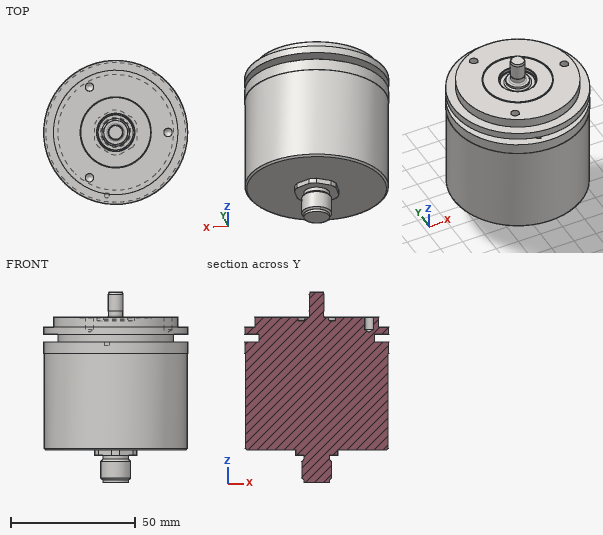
import cadquery as cq
import math


housing_radius = 29.0
spigot_radius = 25.0
spigot_height = 4.0
rim_thickness = 3.0
clamp_groove_radius = 23.25
clamp_groove_width = 3.0
flange_base_height = 4.7
cover_inset = 0.15
cover_chamfer = 0.8
housing_height = 53.5

shaft_diameter = 6.05
shaft_radius = shaft_diameter / 2
shaft_length = 10.0
shaft_neck_radius = 2.9
shaft_neck_top = 2.5
shaft_tip_length = 0.9
shaft_tip_inset = 0.3
root_fillet = 0.6
hub_radius = 4.8
hub_top_depth = 0.1
hub_cone_depth = 1.0
hub_foot_radius = 5.6

recess_radius = 7.5
recess_depth = 1.5
recess_mouth_bevel = 0.2
recess_floor_bevel_width = 0.45
recess_floor_bevel_height = 0.15
ring_groove_radius = 14.15
ring_groove_width = 0.3
ring_groove_depth = 0.4

mount_hole_count = 3
mount_hole_radius = 1.7
mount_circle_radius = 21.0
mount_hole_depth = 5.0
drill_point_angle = 118

ledge_hole_radius = 1.0
ledge_hole_circle_radius = 25.55
ledge_hole_depth = 1.5
ledge_hole_angle = -98

nut_height = 2.1
nut_across_flats = 17.0
nut_corner_radius = 9.0
connector_neck_radius = 5.2
connector_neck_length = 1.5
thread_radius = 6.05
thread_length = 6.7
thread_top_chamfer_length = 0.9
thread_end_chamfer_length = 0.7
connector_tip_length = 1.1

rim_bottom = -spigot_height - rim_thickness
ledge_z = rim_bottom - clamp_groove_width
cover_top = ledge_z - flange_base_height
housing_bottom = -housing_height
nut_bottom = housing_bottom - nut_height


def revolve_profile(points):
    """Solid of revolution about Z from (radius, z) points."""
    return cq.Workplane("XZ").polyline(points).close().revolve(360, (0, 0, 0), (0, 1, 0))


def make_housing():
    """Flange with clamp groove, and the cover below it."""
    cover_radius = housing_radius - cover_inset
    return revolve_profile([
        (0, 0),
        (spigot_radius, 0),
        (spigot_radius, -spigot_height),
        (housing_radius, -spigot_height),
        (housing_radius, rim_bottom),
        (clamp_groove_radius, rim_bottom),
        (clamp_groove_radius, ledge_z),
        (housing_radius, ledge_z),
        (housing_radius, cover_top),
        (cover_radius, cover_top),
        (cover_radius, housing_bottom + cover_chamfer),
        (cover_radius - cover_chamfer, housing_bottom),
        (0, housing_bottom),
    ])


def make_recess():
    """Round recess, bevelled at its mouth and around its floor."""
    return revolve_profile([
        (0, 0),
        (recess_radius + recess_mouth_bevel, 0),
        (recess_radius, -recess_mouth_bevel),
        (recess_radius, -recess_depth + recess_floor_bevel_height),
        (recess_radius - recess_floor_bevel_width, -recess_depth),
        (0, -recess_depth),
    ])


def make_ring_groove():
    inner_radius = ring_groove_radius - ring_groove_width / 2
    outer_radius = ring_groove_radius + ring_groove_width / 2
    return (
        cq.Workplane("XY").circle(outer_radius).circle(inner_radius).extrude(-ring_groove_depth)
    )


def make_shaft():
    """Hub and necked shaft, joined by a concave root fillet."""
    hub_top = -hub_top_depth
    fillet_radius_mid = shaft_neck_radius + root_fillet * (1 - math.sqrt(0.5))
    fillet_z_mid = hub_top + root_fillet * (1 - math.sqrt(0.5))
    outline = (
        cq.Workplane("XZ")
        .moveTo(0, -recess_depth)
        .lineTo(hub_foot_radius, -recess_depth)
        .lineTo(hub_radius, -hub_cone_depth)
        .lineTo(hub_radius, hub_top)
        .lineTo(shaft_neck_radius + root_fillet, hub_top)
        .threePointArc(
            (fillet_radius_mid, fillet_z_mid),
            (shaft_neck_radius, hub_top + root_fillet),
        )
        .lineTo(shaft_neck_radius, shaft_neck_top)
        .lineTo(shaft_radius, shaft_neck_top)
        .lineTo(shaft_radius, shaft_length - shaft_tip_length)
        .lineTo(shaft_radius - shaft_tip_inset, shaft_length)
        .lineTo(0, shaft_length)
        .close()
    )
    return outline.revolve(360, (0, 0, 0), (0, 1, 0))


def make_mount_holes():
    """Drilled holes with conical bottoms, evenly spaced from +X."""
    point_depth = mount_hole_radius / math.tan(math.radians(drill_point_angle / 2))
    drill = revolve_profile([
        (0, 0),
        (mount_hole_radius, 0),
        (mount_hole_radius, -mount_hole_depth),
        (0, -mount_hole_depth - point_depth),
    ]).val()
    return (
        cq.Workplane("XY")
        .polarArray(mount_circle_radius, 0, 360, mount_hole_count)
        .eachpoint(lambda place: drill.moved(place))
    )


def make_ledge_hole():
    """Hole in the ledge that forms the lower wall of the clamp groove."""
    angle = math.radians(ledge_hole_angle)
    return (
        cq.Workplane("XY", origin=(0, 0, ledge_z))
        .center(
            ledge_hole_circle_radius * math.cos(angle),
            ledge_hole_circle_radius * math.sin(angle),
        )
        .circle(ledge_hole_radius)
        .extrude(-ledge_hole_depth)
    )


def make_nut():
    """Hexagon with corners on the Y axis, its corners turned down to a cylinder."""
    across_corners = nut_across_flats / math.cos(math.radians(30))
    base = cq.Workplane("XY", origin=(0, 0, housing_bottom))
    hexagon = base.transformed(rotate=(0, 0, 90)).polygon(6, across_corners).extrude(-nut_height)
    return hexagon.intersect(base.circle(nut_corner_radius).extrude(-nut_height))


def make_connector():
    """Connector barrel with a plain thread surface between a neck and a short tip."""
    neck_bottom = nut_bottom - connector_neck_length
    thread_top = neck_bottom - thread_top_chamfer_length
    thread_bottom = thread_top - thread_length
    tip_top = thread_bottom - thread_end_chamfer_length
    tip_bottom = tip_top - connector_tip_length
    return revolve_profile([
        (0, nut_bottom),
        (connector_neck_radius, nut_bottom),
        (connector_neck_radius, neck_bottom),
        (thread_radius, thread_top),
        (thread_radius, thread_bottom),
        (connector_neck_radius, tip_top),
        (connector_neck_radius, tip_bottom),
        (0, tip_bottom),
    ])


housing = make_housing().cut(make_recess()).cut(make_ring_groove())
housing = housing.cut(make_mount_holes()).cut(make_ledge_hole())
result = housing.union(make_shaft()).union(make_nut()).union(make_connector())